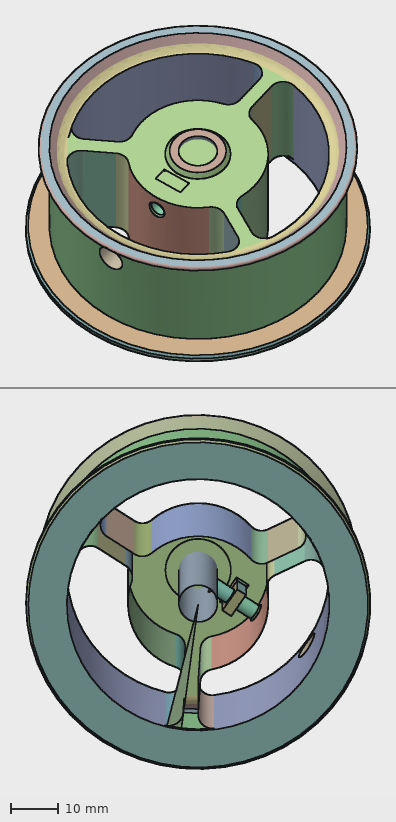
import cadquery as cq
import math

HEIGHT = 28.0
FLANGE_RADIUS = 36.6
FLANGE_THICKNESS = 2.0
BARREL_DIAMETER = 63.2
BARREL_RADIUS = BARREL_DIAMETER / 2
LIP_RADIUS = 33.9
LIP_ROUND = 0.5
FLANGE_CHAMFER = 0.5

OPENING_RADIUS = BARREL_RADIUS
BORE_RADIUS = 27.9
BLEND_RADIUS = 3.0

HUB_RADIUS = 14.95
SPOKE_COUNT = 3
SPOKE_WIDTH = 3.2
SPOKE_FILLET = 3.0
WEB_BOTTOM = 1.0
BOSS_RADIUS = 6.95
BOSS_HEIGHT = 1.0
BOSS_CHAMFER = 0.95
SHAFT_RADIUS = 4.1

SCREW_HEIGHT = 21.45
SCREW_DIAMETER = 3.4
SCREW_CHAMFER = 0.45
ACCESS_DIAMETER = 6.0
NUT_WIDTH = 5.65
NUT_THICKNESS = 2.3
NUT_CENTER_Y = -9.2
POCKET_CHAMFER = 0.45

blend_angle = math.radians(45)
cone_end_radius = BORE_RADIUS + BLEND_RADIUS * math.sin(blend_angle)
cone_end_z = HEIGHT - (OPENING_RADIUS - cone_end_radius)
web_top = cone_end_z - BLEND_RADIUS * (1 - math.cos(blend_angle))
blend_mid = (
    BORE_RADIUS + BLEND_RADIUS * math.sin(blend_angle / 2),
    web_top + BLEND_RADIUS * (1 - math.cos(blend_angle / 2)),
)


def make_rim():
    """Revolved rim; the lip nose is one arc tangent to the top face and the flare."""
    lip_center_radius = LIP_RADIUS - LIP_ROUND
    lip_center_z = HEIGHT - LIP_ROUND
    flare_offset = LIP_ROUND * math.sin(math.radians(45))
    flare_end_radius = lip_center_radius + flare_offset
    flare_end_z = lip_center_z - flare_offset
    flare_bottom = flare_end_z - (flare_end_radius - BARREL_RADIUS)
    rim = (
        cq.Workplane("XZ")
        .moveTo(BORE_RADIUS, 0)
        .lineTo(FLANGE_RADIUS, 0)
        .lineTo(FLANGE_RADIUS, FLANGE_THICKNESS)
        .lineTo(BARREL_RADIUS, FLANGE_THICKNESS)
        .lineTo(BARREL_RADIUS, flare_bottom)
        .lineTo(flare_end_radius, flare_end_z)
        .threePointArc((LIP_RADIUS, lip_center_z), (lip_center_radius, HEIGHT))
        .lineTo(OPENING_RADIUS, HEIGHT)
        .lineTo(cone_end_radius, cone_end_z)
        .threePointArc(blend_mid, (BORE_RADIUS, web_top))
        .close()
        .revolve(360, (0, 0, 0), (0, 1, 0))
    )
    outermost = cq.selectors.RadiusNthSelector(-1)
    return rim.edges(outermost).chamfer(FLANGE_CHAMFER)


def make_web():
    """Hub and spokes, recessed from the flange face, with every spoke root filleted inside the rim bore."""
    windows = cq.Workplane("XY").circle(BORE_RADIUS).circle(HUB_RADIUS).extrude(web_top)
    for index in range(SPOKE_COUNT):
        spoke = (
            cq.Workplane("XY")
            .rect(SPOKE_WIDTH, BORE_RADIUS + HUB_RADIUS)
            .extrude(web_top)
            .translate((0, (BORE_RADIUS + HUB_RADIUS) / 2, 0))
            .rotate((0, 0, 0), (0, 0, 1), index * 360 / SPOKE_COUNT)
        )
        windows = windows.cut(spoke)
    windows = windows.faces("#Z and %PLANE").edges("|Z").fillet(SPOKE_FILLET)
    web = cq.Workplane("XY", origin=(0, 0, WEB_BOTTOM)).circle(BORE_RADIUS).extrude(web_top - WEB_BOTTOM)
    return web.cut(windows)


def make_boss():
    boss = cq.Workplane("XY", origin=(0, 0, web_top)).circle(BOSS_RADIUS).extrude(BOSS_HEIGHT)
    return boss.faces(">Z").chamfer(BOSS_CHAMFER)


def radial_hole(diameter, start_y, end_y):
    """Cylinder along Y at screw height, from start_y toward -Y."""
    return (
        cq.Workplane("XZ", origin=(0, start_y, SCREW_HEIGHT))
        .circle(diameter / 2)
        .extrude(start_y - end_y)
    )


def make_screw_cuts():
    """Screw hole into the shaft bore, its entry chamfer and rim access hole."""
    screw = radial_hole(SCREW_DIAMETER, 0, -HUB_RADIUS)
    entry = (
        cq.Workplane("XZ", origin=(0, -HUB_RADIUS, SCREW_HEIGHT))
        .circle(SCREW_DIAMETER / 2 + SCREW_CHAMFER)
        .workplane(offset=-SCREW_CHAMFER)
        .circle(SCREW_DIAMETER / 2)
        .loft()
    )
    access = radial_hole(ACCESS_DIAMETER, -(HUB_RADIUS + BORE_RADIUS) / 2, -FLANGE_RADIUS)
    return screw.union(entry).union(access)


def make_nut_pocket():
    """Pocket for a square nut centred on the screw, with a chamfered mouth."""
    pocket_bottom = SCREW_HEIGHT - NUT_WIDTH / 2
    pocket = (
        cq.Workplane("XY", origin=(0, NUT_CENTER_Y, pocket_bottom))
        .rect(NUT_WIDTH, NUT_THICKNESS)
        .extrude(web_top - pocket_bottom)
    )
    mouth = (
        cq.Workplane("XY", origin=(0, NUT_CENTER_Y, web_top))
        .rect(NUT_WIDTH + 2 * POCKET_CHAMFER, NUT_THICKNESS + 2 * POCKET_CHAMFER)
        .workplane(offset=-POCKET_CHAMFER)
        .rect(NUT_WIDTH, NUT_THICKNESS)
        .loft()
    )
    return pocket.union(mouth)


shaft_bore = cq.Workplane("XY").circle(SHAFT_RADIUS).extrude(HEIGHT)
result = make_rim().union(make_web()).union(make_boss())
result = result.cut(shaft_bore).cut(make_screw_cuts()).cut(make_nut_pocket())